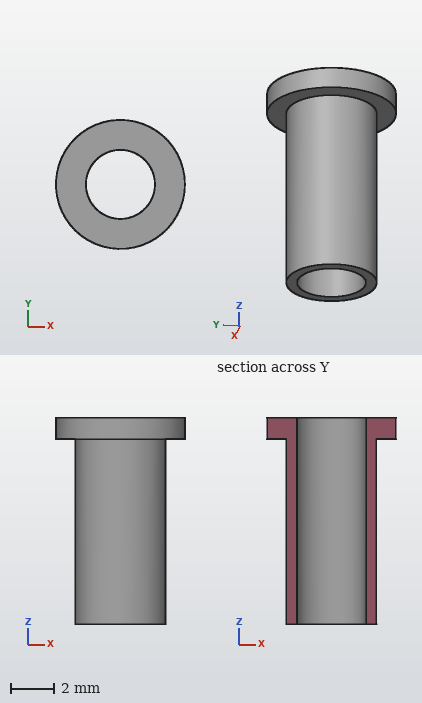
import cadquery as cq

total_length = 9.6
flange_diameter = 6.0
flange_thickness = 1.0
sleeve_diameter = 4.2
bore_diameter = 3.2

sleeve_length = total_length - flange_thickness

sleeve = cq.Workplane("XY").circle(sleeve_diameter / 2).extrude(sleeve_length)

flanged_sleeve = (
    sleeve.faces(">Z").workplane()
    .circle(flange_diameter / 2)
    .extrude(flange_thickness)
)

bore = cq.Workplane("XY").circle(bore_diameter / 2).extrude(total_length)
result = flanged_sleeve.cut(bore)